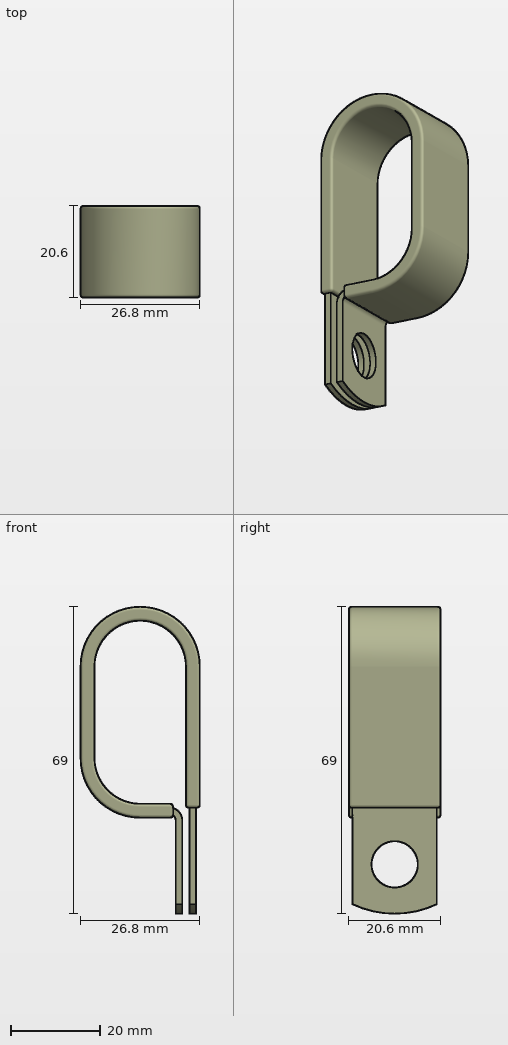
import cadquery as cq
import math

height = 68.95
loop_width = 26.8
sleeve_length = 20.6
cushion = 0.8
strap_thickness = 1.5
lower_arc_z = 34.95
sleeve_foot_x = 7.4
sleeve_leg_z = 23.8
edge_round = 0.7
tab_gap = 1.6
tab_bend_inner = 1.45
hole_diameter = 10.35
hole_z = 11.1
tab_corner_z = 2.15

sleeve_thickness = strap_thickness + 2 * cushion
strap_width = sleeve_length - 2 * cushion
middle_radius = (loop_width - sleeve_thickness) / 2
upper_arc_z = height - loop_width / 2
foot_z = lower_arc_z - middle_radius
tab_x = middle_radius - strap_thickness - tab_gap
tab_bend_radius = tab_bend_inner + strap_thickness / 2
diagonal = math.sqrt(0.5)


def band(thickness, width, leg_end_z, foot_end_x):
    """Flat band following the loop from the straight leg round to the foot."""
    outer = middle_radius + thickness / 2
    inner = middle_radius - thickness / 2
    return (
        cq.Workplane("XZ")
        .moveTo(outer, leg_end_z)
        .lineTo(outer, upper_arc_z)
        .threePointArc((0, upper_arc_z + outer), (-outer, upper_arc_z))
        .lineTo(-outer, lower_arc_z)
        .threePointArc((-outer * diagonal, lower_arc_z - outer * diagonal), (0, lower_arc_z - outer))
        .lineTo(foot_end_x, lower_arc_z - outer)
        .lineTo(foot_end_x, lower_arc_z - inner)
        .lineTo(0, lower_arc_z - inner)
        .threePointArc((-inner * diagonal, lower_arc_z - inner * diagonal), (-inner, lower_arc_z))
        .lineTo(-inner, upper_arc_z)
        .threePointArc((0, upper_arc_z + inner), (inner, upper_arc_z))
        .lineTo(inner, leg_end_z)
        .close()
        .extrude(width / 2, both=True)
    )


def bent_tab():
    """Tab that turns down from the foot to run beside the straight leg."""
    bend_x = tab_x - tab_bend_radius
    bend_z = foot_z - tab_bend_radius
    outer = tab_bend_radius + strap_thickness / 2
    inner = tab_bend_inner
    return (
        cq.Workplane("XZ")
        .moveTo(bend_x, bend_z + outer)
        .threePointArc((bend_x + outer * diagonal, bend_z + outer * diagonal), (bend_x + outer, bend_z))
        .lineTo(bend_x + outer, 0)
        .lineTo(bend_x + inner, 0)
        .lineTo(bend_x + inner, bend_z)
        .threePointArc((bend_x + inner * diagonal, bend_z + inner * diagonal), (bend_x, bend_z + inner))
        .close()
        .extrude(strap_width / 2, both=True)
    )


def tab_envelope():
    """Region kept by the strap: full width with an arched lower end."""
    half_width = strap_width / 2
    return (
        cq.Workplane("YZ")
        .moveTo(-half_width, height)
        .lineTo(-half_width, tab_corner_z)
        .threePointArc((0, 0), (half_width, tab_corner_z))
        .lineTo(half_width, height)
        .close()
        .extrude(loop_width, both=True)
    )


sleeve = band(sleeve_thickness, sleeve_length, sleeve_leg_z, sleeve_foot_x)
leg_end_face = sleeve.faces(cq.selectors.NearestToPointSelector((middle_radius, 0, sleeve_leg_z)))
foot_end_face = sleeve.faces(cq.selectors.NearestToPointSelector((sleeve_foot_x, 0, foot_z)))
sleeve_borders = sleeve.faces("|Y").edges().add(leg_end_face.edges("|Y")).add(foot_end_face.edges("|Y"))
sleeve = sleeve_borders.fillet(edge_round)

bend_start_x = tab_x - tab_bend_radius
strap = band(strap_thickness, strap_width, 0, bend_start_x).union(bent_tab())
strap = strap.intersect(tab_envelope())
bolt_hole = (
    cq.Workplane("YZ").center(0, hole_z).circle(hole_diameter / 2).extrude(loop_width, both=True)
)
strap = strap.cut(bolt_hole)

result = sleeve.union(strap)